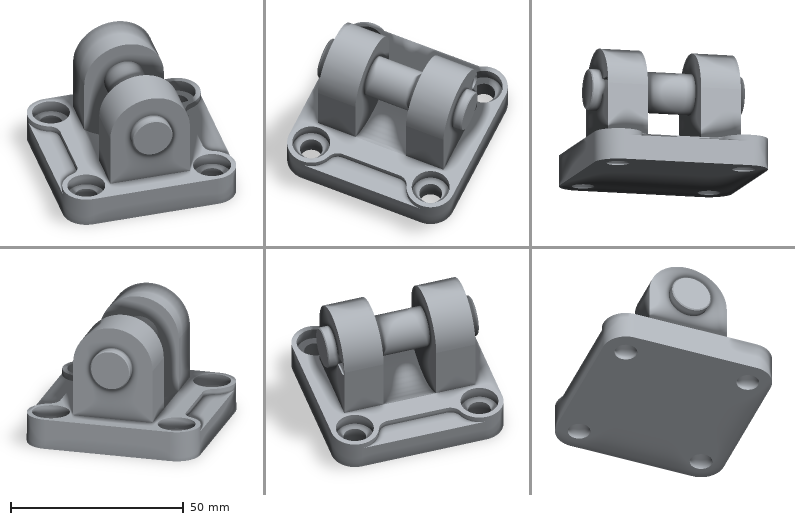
import cadquery as cq
import math

plate_side = 52.0
plate_height = 9.0
corner_radius = 7.0
hole_offset = plate_side / 2 - corner_radius
hole_diameter = 6.6
counterbore_diameter = 11.0
counterbore_depth = 3.5

ledge_depth = 1.8
ledge_fillet = 3.6

total_height = 37.0
lug_width = 24.0
lug_radius = lug_width / 2
axis_height = total_height - lug_radius
lug_span = 40.0
lug_gap = 16.0
lug_thickness = (lug_span - lug_gap) / 2
pin_diameter = 12.0
pin_length = 45.95
pin_chamfer = 0.3

slot_height = 4.3
slot_depth = 4.0
slot_end_wall = 0.05
slot_end_center = lug_radius - slot_end_wall - slot_height / 2


def make_lower_plate():
    """Full square layer with rounded vertical corners, up to the ledges."""
    height = plate_height - ledge_depth
    slab = cq.Workplane("XY").box(plate_side, plate_side, height, centered=(True, True, False))
    return slab.edges("|Z").fillet(corner_radius)


def make_upper_plate():
    """Top layer, waisted along both Y edges between round corner bosses."""
    center_distance = corner_radius + ledge_fillet
    fillet_x = hole_offset - math.sqrt(center_distance**2 - ledge_fillet**2)
    fillet_y = hole_offset + ledge_fillet
    contact_angle = math.asin(ledge_fillet / center_distance)
    contact_x = hole_offset - corner_radius * math.cos(contact_angle)
    contact_y = hole_offset + corner_radius * math.sin(contact_angle)
    fillet_mid_angle = (contact_angle + math.pi / 2) / 2
    fillet_mid_x = fillet_x + ledge_fillet * math.cos(fillet_mid_angle)
    fillet_mid_y = fillet_y - ledge_fillet * math.sin(fillet_mid_angle)
    boss_mid = hole_offset + corner_radius * math.sqrt(0.5)
    half_side = plate_side / 2

    outline = cq.Workplane("XY", origin=(0, 0, plate_height - ledge_depth)).moveTo(half_side, -hole_offset)
    for turn in (1, -1):
        outline = (
            outline.lineTo(turn * half_side, turn * hole_offset)
            .threePointArc((turn * boss_mid, turn * boss_mid), (turn * contact_x, turn * contact_y))
            .threePointArc((turn * fillet_mid_x, turn * fillet_mid_y), (turn * fillet_x, turn * hole_offset))
            .lineTo(-turn * fillet_x, turn * hole_offset)
            .threePointArc((-turn * fillet_mid_x, turn * fillet_mid_y), (-turn * contact_x, turn * contact_y))
            .threePointArc((-turn * boss_mid, turn * boss_mid), (-turn * half_side, turn * hole_offset))
        )
    return outline.close().extrude(ledge_depth)


def make_lug(start_x):
    """Round-topped lug standing on the plate."""
    return (
        cq.Workplane("YZ", origin=(start_x, 0, 0))
        .moveTo(-lug_radius, plate_height)
        .lineTo(lug_radius, plate_height)
        .lineTo(lug_radius, axis_height)
        .threePointArc((0, total_height), (-lug_radius, axis_height))
        .close()
        .extrude(lug_thickness)
    )


def make_saddle():
    """Cutter for the hollow between the lugs, concentric with the pin."""
    saddle_radius = math.hypot(lug_radius, axis_height - plate_height)
    return (
        cq.Workplane("YZ", origin=(-lug_gap / 2, 0, axis_height))
        .circle(saddle_radius)
        .extrude(lug_gap)
    )


def make_slot():
    """Cutter for the round-ended slot running from the pin toward -Y."""
    return (
        cq.Workplane("YZ", origin=(-lug_span / 2, 0, axis_height))
        .moveTo(0, slot_height / 2)
        .lineTo(-slot_end_center, slot_height / 2)
        .threePointArc((-slot_end_center - slot_height / 2, 0), (-slot_end_center, -slot_height / 2))
        .lineTo(0, -slot_height / 2)
        .close()
        .extrude(slot_depth)
    )


def make_pin():
    """Pin through both lugs, chamfered at its ends."""
    pin = cq.Workplane("YZ", origin=(-pin_length / 2, 0, axis_height))
    return pin.circle(pin_diameter / 2).extrude(pin_length).faces("<X or >X").chamfer(pin_chamfer)


def make_bolt_holes():
    """Cutter for the four counterbored corner holes."""
    corners = [(x, y) for x in (-hole_offset, hole_offset) for y in (-hole_offset, hole_offset)]
    holes = cq.Workplane("XY").pushPoints(corners).circle(hole_diameter / 2).extrude(plate_height)
    counterbores = (
        cq.Workplane("XY", origin=(0, 0, plate_height - counterbore_depth))
        .pushPoints(corners)
        .circle(counterbore_diameter / 2)
        .extrude(counterbore_depth)
    )
    return holes.union(counterbores)


plate = make_lower_plate().union(make_upper_plate())
base = plate.cut(make_bolt_holes()).cut(make_saddle())
lugs = make_lug(-lug_span / 2).union(make_lug(lug_gap / 2))
result = base.union(lugs).cut(make_slot()).union(make_pin())